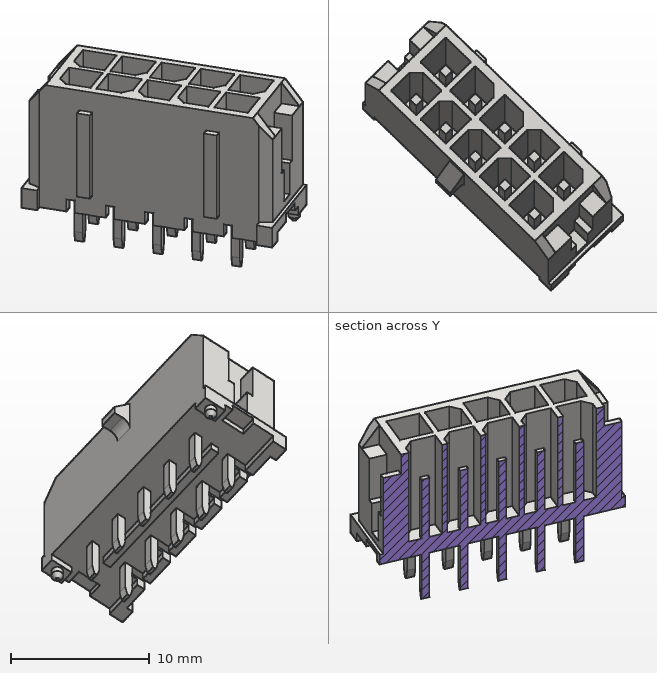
import cadquery as cq


LENGTH = 19.15
BODY_LENGTH = 18.61
BODY_FRONT = -3.47
BODY_BACK = 3.39
HEIGHT = 9.9
BODY_END = BODY_LENGTH / 2
BODY_DEPTH = BODY_BACK - BODY_FRONT
BODY_MIDDLE = (BODY_BACK + BODY_FRONT) / 2

TOP_CHAMFER_LENGTH = 1.38
TOP_CHAMFER_HEIGHT = 1.69
TOP_CORNER = BODY_END - TOP_CHAMFER_LENGTH
SHELF_LEVEL = HEIGHT - TOP_CHAMFER_HEIGHT
CORNER_CUT_LENGTH = 0.92
CORNER_CUT_DEPTH = 0.38
FRONT_HORN = 0.94
BACK_HORN = 0.75
WIDE_SLOT_WIDTH = 2.18
WIDE_SLOT_FLOOR = 4.62
NARROW_SLOT_WIDTH = 1.17
NARROW_SLOT_FLOOR = 2.13

FLANGE_HEIGHT = 1.59
FLANGE_FRONT = -3.98
FLANGE_INNER = BODY_END - CORNER_CUT_LENGTH
UNDERSIDE_LEVEL = 0.69
FRONT_FOOT_BACK = -2.8
BACK_FOOT_FRONT = 1.59
NOTCH_WIDTH = 1.92
NOTCH_TOP = 1.26
STANDOFF_WIDTH = 0.65

COLUMNS = 5
COLUMN_SPAN = 12.0
PITCH = COLUMN_SPAN / (COLUMNS - 1)
PIN_WIDTH = 0.65
PIN_TOP = 7.28
PIN_TIP = -3.2
PIN_TIP_WIDTH = 0.23
PIN_TAPER_RADIUS = 4.79
PIN_TAPER_LENGTH = 0.85
FRONT_WINDOW_TOP = 0.98
CAVITY_WIDTH = 2.57
CAVITY_FLOOR = 2.13
KEY_CHAMFER = 0.67
FRONT_ROW_KEYS = ("left", "right", "left", "left", "none")
BACK_ROW_KEYS = ("left", "right", "right", "right", "right")

RIB_SPACING = 9.69
RIB_WIDTH = 1.0
RIB_BOTTOM = 1.6
RIB_TOP = 8.31

LATCH_WIDTH = 1.45
LATCH_TIP = 4.79
LATCH_TOP = 9.36
LATCH_TIP_TOP = 7.74
LATCH_TIP_BOTTOM = 6.95
LATCH_FILLET = 0.7
LATCH_FILLET_TOP = 7.03

PEG_SPACING = 17.96
PEG_Y = 2.43
PEG_RADIUS = 0.45
PEG_TIP_RADIUS = 0.11
PEG_LENGTH = 0.52
PEG_TIP_LENGTH = 0.38


def block(x_start, x_end, y_start, y_end, z_start, z_end):
    """Axis-aligned box between the given limits."""
    size = (x_end - x_start, y_end - y_start, z_end - z_start)
    return cq.Workplane("XY").box(*size, centered=False).translate((x_start, y_start, z_start))


def on_both_ends(shape):
    """The shape together with its mirror image at the other X end."""
    return shape.union(shape.mirror("YZ"))


def column_position(column):
    """X position of a pin column, counted from the -X end."""
    return (column - (COLUMNS - 1) / 2) * PITCH


def housing():
    """Solid housing with sloped top ends and bevelled front corners."""
    front_outline = [
        (-BODY_END, 0),
        (BODY_END, 0),
        (BODY_END, SHELF_LEVEL),
        (TOP_CORNER, HEIGHT),
        (-TOP_CORNER, HEIGHT),
        (-BODY_END, SHELF_LEVEL),
    ]
    body = cq.Workplane("XZ", origin=(0, BODY_BACK, 0)).polyline(front_outline).close().extrude(BODY_DEPTH)
    corner_outline = [
        (BODY_END, BODY_FRONT),
        (BODY_END, BODY_FRONT + CORNER_CUT_DEPTH),
        (BODY_END - CORNER_CUT_LENGTH, BODY_FRONT),
    ]
    corner = cq.Workplane("XY").polyline(corner_outline).close().extrude(HEIGHT)
    return body.cut(on_both_ends(corner))


def flange():
    """Base flange at the +X end, reaching past the housing front."""
    return block(FLANGE_INNER, LENGTH / 2, FLANGE_FRONT, BODY_BACK, 0, FLANGE_HEIGHT)


def end_slot():
    """Stepped slot in the +X end: open top, wide middle, narrow bottom."""
    x_limits = (TOP_CORNER, LENGTH / 2)
    slot = block(*x_limits, BODY_FRONT + FRONT_HORN, BODY_BACK - BACK_HORN, SHELF_LEVEL, HEIGHT)
    for width, floor in ((WIDE_SLOT_WIDTH, WIDE_SLOT_FLOOR), (NARROW_SLOT_WIDTH, NARROW_SLOT_FLOOR)):
        slot = slot.union(
            block(*x_limits, BODY_MIDDLE - width / 2, BODY_MIDDLE + width / 2, floor, HEIGHT)
        )
    return slot


def underside_relief():
    """Space under the housing that leaves the front wall, end feet and a central standoff bar."""
    half = LENGTH / 2
    relief = block(-half, half, FRONT_FOOT_BACK, BACK_FOOT_FRONT, 0, UNDERSIDE_LEVEL)
    behind = block(-FLANGE_INNER, FLANGE_INNER, BACK_FOOT_FRONT, BODY_BACK, 0, UNDERSIDE_LEVEL)
    bar_end = (COLUMN_SPAN + PIN_WIDTH) / 2
    bar = block(-bar_end, bar_end, -STANDOFF_WIDTH / 2, STANDOFF_WIDTH / 2, 0, UNDERSIDE_LEVEL)
    return relief.union(behind).cut(bar)


def end_notch():
    """Notch in the lower edge of the +X flange."""
    return block(
        FLANGE_INNER, LENGTH / 2, BODY_MIDDLE - NOTCH_WIDTH / 2, BODY_MIDDLE + NOTCH_WIDTH / 2, 0, NOTCH_TOP
    )


def front_window():
    """Opening in the lower front wall, running back to the front pin row."""
    return block(-PIN_WIDTH / 2, PIN_WIDTH / 2, BODY_FRONT, -PITCH / 2, 0, FRONT_WINDOW_TOP)


def cavity(key):
    """Square contact cavity with one front corner bevelled as a key."""
    shape = cq.Workplane("XY", origin=(0, 0, CAVITY_FLOOR)).rect(CAVITY_WIDTH, CAVITY_WIDTH)
    shape = shape.extrude(HEIGHT - CAVITY_FLOOR)
    if key == "left":
        return shape.edges("|Z and <X and <Y").chamfer(KEY_CHAMFER)
    if key == "right":
        return shape.edges("|Z and >X and <Y").chamfer(KEY_CHAMFER)
    return shape


def pin():
    """Square pin whose lower end narrows in Y with slightly bulging sides."""
    taper_start = PIN_TIP + PIN_TAPER_LENGTH
    profile = (
        cq.Workplane("YZ")
        .moveTo(-PIN_WIDTH / 2, PIN_TOP)
        .lineTo(PIN_WIDTH / 2, PIN_TOP)
        .lineTo(PIN_WIDTH / 2, taper_start)
        .radiusArc((PIN_TIP_WIDTH / 2, PIN_TIP), PIN_TAPER_RADIUS)
        .lineTo(-PIN_TIP_WIDTH / 2, PIN_TIP)
        .radiusArc((-PIN_WIDTH / 2, taper_start), PIN_TAPER_RADIUS)
        .close()
    )
    return profile.extrude(PIN_WIDTH / 2, both=True)


def rib():
    """Upright rib on the front face, +X side."""
    x_start = (RIB_SPACING - RIB_WIDTH) / 2
    return block(x_start, x_start + RIB_WIDTH, FLANGE_FRONT, BODY_FRONT, RIB_BOTTOM, RIB_TOP)


def latch():
    """Locking ramp on the back face with a rounded underside."""
    fillet_start = (BODY_BACK + LATCH_FILLET, LATCH_FILLET_TOP)
    fillet_end = (BODY_BACK, LATCH_FILLET_TOP - LATCH_FILLET)
    profile = (
        cq.Workplane("YZ")
        .moveTo(BODY_BACK, LATCH_TOP)
        .lineTo(LATCH_TIP, LATCH_TIP_TOP)
        .lineTo(LATCH_TIP, LATCH_TIP_BOTTOM)
        .lineTo(*fillet_start)
        .radiusArc(fillet_end, -LATCH_FILLET)
        .close()
    )
    return profile.extrude(LATCH_WIDTH / 2, both=True)


def peg():
    """Round locating peg with a conical tip, below the +X back foot."""
    profile = (
        cq.Workplane("XZ")
        .lineTo(PEG_RADIUS, 0)
        .lineTo(PEG_RADIUS, -PEG_LENGTH)
        .lineTo(PEG_TIP_RADIUS, -PEG_LENGTH - PEG_TIP_LENGTH)
        .lineTo(0, -PEG_LENGTH - PEG_TIP_LENGTH)
        .close()
    )
    return profile.revolve(360, (0, 0, 0), (0, 1, 0)).translate((PEG_SPACING / 2, PEG_Y, 0))


result = housing().union(on_both_ends(flange()))
result = result.cut(on_both_ends(end_slot()))
result = result.cut(underside_relief())
result = result.cut(on_both_ends(end_notch()))

for column in range(COLUMNS):
    x = column_position(column)
    result = result.cut(front_window().translate((x, 0, 0)))
    for y, keys in ((-PITCH / 2, FRONT_ROW_KEYS), (PITCH / 2, BACK_ROW_KEYS)):
        result = result.cut(cavity(keys[column]).translate((x, y, 0)))
        result = result.union(pin().translate((x, y, 0)))

result = result.union(on_both_ends(rib()))
result = result.union(latch())
result = result.union(on_both_ends(peg()))